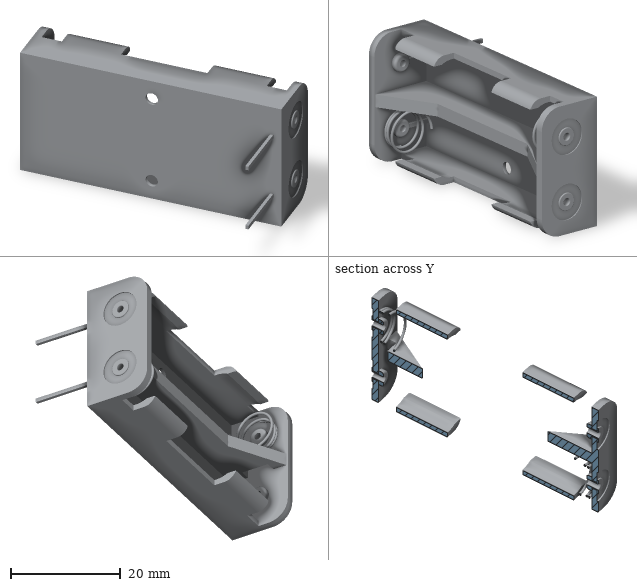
import cadquery as cq

import math


LENGTH = 51.6
WIDTH = 25.2
HEIGHT = 12.75
CORNER_RADIUS = 4.0
END_WALL = 1.6
INNER_LENGTH = LENGTH - 2 * END_WALL

CELL_PITCH = 12.7
CELL_Z = CELL_PITCH / 2
AXIS_Y = 6.95
CAVITY_RADIUS = 5.1
FLOOR_THICKNESS = 0.7
LIP_OFFSET = 4.55

NOTCH_Y = 6.5
SADDLE_TOP = 11.2
SADDLE_START = 5.55
SADDLE_END = 17.3
SADDLE_LENGTH = SADDLE_END - SADDLE_START
SADDLE_RADIUS = SADDLE_TOP - (HEIGHT - CORNER_RADIUS)
SADDLE_ROUNDING = 0.4

DIVIDER_THICKNESS = CELL_PITCH - 2 * CAVITY_RADIUS
DIVIDER_WALL_Y = 12.45
DIVIDER_SLOPE = 0.55
DIVIDER_RUN = (DIVIDER_WALL_Y - NOTCH_Y) / DIVIDER_SLOPE
WINDOW_LENGTH = 2.0
WINDOW_TOP = 9.7
WINDOW_HEIGHT = 2 * (WINDOW_TOP - AXIS_Y)

MOUNT_HOLE_DIAMETER = 2.4
MOUNT_HOLE_X = 0.2
MOUNT_HOLE_SPACING = 17.55

RECESS_DIAMETER = 7.0
RECESS_DEPTH = 0.25
EYELET_RADIUS = 1.75
SHANK_RADIUS = 0.8
BORE_RADIUS = 0.65
FLANGE_ROUNDING = 0.15
HEAD_THICKNESS = 1.1
HEAD_ROUNDING = 0.45

PIN_THICKNESS = 0.6
PIN_WIDTH = 0.75
PIN_LENGTH = 11.9

WIRE_DIAMETER = 0.5
CLOSED_PITCH = 0.55
OPEN_PITCH = 2.2
SPRING_OUTER_SMALL = 3.85
SPRING_OUTER_LARGE = 4.45
CLOSED_TURNS = 1.4
WIDENING_TURNS = 0.9
TOTAL_TURNS = 2.75
PIN_STANDOFF = 0.2
STEPS_PER_TURN = 24

INNER_FACE_X = LENGTH / 2 - END_WALL
CLEARANCE = 0.5


def block(x_range, y_range, z_range):
    """Box between the given limits on each axis."""
    size = [high - low for low, high in (x_range, y_range, z_range)]
    corner = (x_range[0], y_range[0], z_range[0])
    return cq.Workplane("XY").box(*size, centered=False).translate(corner)


def facing_end(shape, x_side):
    """Turn a shape made for the -X end half a turn about Y when it belongs at the +X end."""
    return shape if x_side < 0 else shape.rotate((0, 0, 0), (0, 1, 0), 180)



def cell_cavity():
    """Cavity for the cell at +Z: flat floor and sides, closing in under the outer lip."""
    x_range = (-INNER_FACE_X, INNER_FACE_X)
    inner_side = CELL_Z - CAVITY_RADIUS
    pocket = block(x_range, (FLOOR_THICKNESS, AXIS_Y), (inner_side, CELL_Z + CAVITY_RADIUS))
    mouth = block(x_range, (AXIS_Y, HEIGHT + CLEARANCE), (inner_side, CELL_Z + LIP_OFFSET))
    cylinder = (
        cq.Workplane("YZ", origin=(-INNER_FACE_X, AXIS_Y, CELL_Z))
        .circle(CAVITY_RADIUS)
        .extrude(INNER_LENGTH)
    )
    return pocket.union(mouth).union(cylinder)


def side_wall_cutter():
    """Material removed from the side wall at +Z: all above the notches except two saddles."""
    z_range = (DIVIDER_THICKNESS / 2, WIDTH / 2 + CLEARANCE)
    cutter = block((-INNER_FACE_X, INNER_FACE_X), (NOTCH_Y, HEIGHT + CLEARANCE), z_range)
    for start in (SADDLE_START - LENGTH / 2, LENGTH / 2 - SADDLE_END):
        x_range = (start, start + SADDLE_LENGTH)
        saddle = block(x_range, (0, SADDLE_TOP), z_range).edges("|Z and >Y").fillet(SADDLE_ROUNDING)
        rounded = block(x_range, (0, SADDLE_TOP), (0, WIDTH / 2))
        rounded = rounded.edges("|X and >Y and >Z").fillet(SADDLE_RADIUS)
        cutter = cutter.cut(saddle.intersect(rounded))
    return cutter


def divider_cutter():
    """Material removed above the divider, which slopes down from both end walls."""
    top = HEIGHT + CLEARANCE
    return (
        cq.Workplane("XY")
        .polyline([
            (-INNER_FACE_X, top),
            (-INNER_FACE_X, DIVIDER_WALL_Y),
            (-INNER_FACE_X + DIVIDER_RUN, NOTCH_Y),
            (INNER_FACE_X - DIVIDER_RUN, NOTCH_Y),
            (INNER_FACE_X, DIVIDER_WALL_Y),
            (INNER_FACE_X, top),
        ])
        .close()
        .extrude(DIVIDER_THICKNESS / 2, both=True)
    )


def divider_window():
    """Opening through the divider beside the -X end wall."""
    return block(
        (-INNER_FACE_X, -INNER_FACE_X + WINDOW_LENGTH),
        (WINDOW_TOP - WINDOW_HEIGHT, WINDOW_TOP),
        (-DIVIDER_THICKNESS / 2, DIVIDER_THICKNESS / 2),
    )


def mounting_holes():
    """Two holes through the floor, one under each cell."""
    return (
        cq.Workplane("XZ")
        .center(MOUNT_HOLE_X, 0)
        .rarray(0.5, MOUNT_HOLE_SPACING, 1, 2)
        .circle(MOUNT_HOLE_DIAMETER / 2)
        .extrude(-AXIS_Y)
    )


def eyelet_seat():
    """Shallow outer recess and shank hole in the -X end wall, on the axis Y = Z = 0."""
    outer_face = cq.Workplane("YZ").workplane(offset=-LENGTH / 2)
    recess = outer_face.circle(RECESS_DIAMETER / 2).extrude(RECESS_DEPTH)
    return recess.union(outer_face.circle(SHANK_RADIUS).extrude(END_WALL))


def terminal_pin(cell_z):
    """Flat pin against the +X end wall, from the cell axis down through the floor."""
    return block(
        (INNER_FACE_X - PIN_THICKNESS, INNER_FACE_X),
        (-PIN_LENGTH, AXIS_Y),
        (cell_z - PIN_WIDTH / 2, cell_z + PIN_WIDTH / 2),
    )


def make_housing():
    body = block((-LENGTH / 2, LENGTH / 2), (0, HEIGHT), (-WIDTH / 2, WIDTH / 2))
    body = body.edges("|X and >Y").fillet(CORNER_RADIUS)
    for cutter in (cell_cavity(), side_wall_cutter()):
        body = body.cut(cutter).cut(cutter.mirror("XY"))
    body = body.cut(divider_cutter()).cut(divider_window()).cut(mounting_holes())
    for cell_z in (-CELL_Z, CELL_Z):
        for x_side in (-1, 1):
            body = body.cut(facing_end(eyelet_seat(), x_side).translate((0, AXIS_Y, cell_z)))
        body = body.cut(terminal_pin(cell_z))
    return body



def eyelet(x_side, cell_z):
    """Hollow rivet through an end wall: flange in the recess, shank, rounded head inside."""
    recess_floor = -LENGTH / 2 + RECESS_DEPTH
    flange = (
        cq.Workplane("YZ")
        .workplane(offset=-LENGTH / 2)
        .circle(EYELET_RADIUS)
        .circle(BORE_RADIUS)
        .extrude(RECESS_DEPTH)
        .faces("<X").edges().fillet(FLANGE_ROUNDING)
    )
    shank = (
        cq.Workplane("YZ")
        .workplane(offset=recess_floor)
        .circle(SHANK_RADIUS)
        .extrude(END_WALL - RECESS_DEPTH)
    )
    head = (
        cq.Workplane("YZ")
        .workplane(offset=-INNER_FACE_X)
        .circle(EYELET_RADIUS)
        .extrude(HEAD_THICKNESS)
        .faces(">X").edges().fillet(HEAD_ROUNDING)
    )
    bore = cq.Workplane("YZ").circle(BORE_RADIUS).extrude(-LENGTH / 2)
    rivet = flange.union(shank).union(head).cut(bore)
    return facing_end(rivet, x_side).translate((0, AXIS_Y, cell_z))


def terminal(cell_z):
    """Eyelet at the +X end in one piece with its solder pin."""
    bore = cq.Workplane("YZ", origin=(0, AXIS_Y, cell_z)).circle(BORE_RADIUS).extrude(LENGTH / 2)
    return eyelet(1, cell_z).union(terminal_pin(cell_z).cut(bore))



def spring_point(turn):
    """Wire centre after a number of turns from the +Z side: closed first, then open and wider."""
    open_turns = max(0.0, turn - CLOSED_TURNS)
    advance = CLOSED_PITCH * (turn - open_turns) + OPEN_PITCH * open_turns
    widening = min(1.0, open_turns / WIDENING_TURNS)
    outer = SPRING_OUTER_SMALL + (SPRING_OUTER_LARGE - SPRING_OUTER_SMALL) * widening
    radius = outer - WIRE_DIAMETER / 2
    angle = 2 * math.pi * turn
    x = -INNER_FACE_X + WIRE_DIAMETER / 2 + advance
    return cq.Vector(x, radius * math.sin(angle), radius * math.cos(angle))


def spring(x_side, cell_z):
    """Conical contact spring standing on the inside of an end wall."""
    steps = round(TOTAL_TURNS * STEPS_PER_TURN)
    path = cq.Edge.makeSpline([spring_point(step / STEPS_PER_TURN) for step in range(steps + 1)])
    start = cq.Plane(origin=path.startPoint(), xDir=(0, 1, 0), normal=path.tangentAt(0))
    wire = cq.Workplane(start).circle(WIRE_DIAMETER / 2).sweep(cq.Workplane(path), isFrenet=True)
    standoff = PIN_STANDOFF if x_side > 0 else 0
    return facing_end(wire, x_side).translate((-standoff, AXIS_Y, cell_z))



housing = make_housing()
rivets = [eyelet(-1, cell_z) for cell_z in (-CELL_Z, CELL_Z)]
terminals = [terminal(cell_z) for cell_z in (-CELL_Z, CELL_Z)]
springs = [spring(x_side, -x_side * CELL_Z) for x_side in (-1, 1)]

bodies = [housing, *rivets, *terminals, *springs]
result = cq.Compound.makeCompound([body.solids().val() for body in bodies])